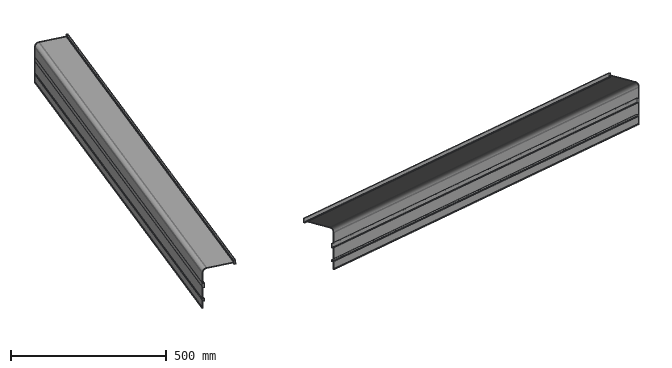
import cadquery as cq
import math

length = 2000.0
depth = 112.0
height = 155.0

wall = 2.0
corner_radius = 15.0
flange_slope = math.radians(6)
corner_height = 138.0

bead_width = 5.0
bead_height = 15.0

rib_projection = 5.0
ribs = [(72.0, 15.0), (25.0, 5.0)]

bottom_bevel = 2.0

front_y = -depth / 2
back_y = depth / 2
bottom_z = -height / 2
top_z = height / 2

bead_y = back_y - (bead_width * math.cos(flange_slope) + bead_height * math.sin(flange_slope)) / 2
bead_z = top_z - (bead_height * math.cos(flange_slope) + bead_width * math.sin(flange_slope)) / 2


def bar(y, z, width, tall):
    """Full-length rectangular bar whose lower front edge is at (y, z)."""
    return cq.Workplane("XY").box(length, width, tall, centered=(True, False, False)).translate((0, y, z))


def angle_body():
    """Upright leg and sloping flange joined by a rounded corner."""
    rise = math.tan(flange_slope)
    corner_z = bottom_z + corner_height
    flange_drop = wall / math.cos(flange_slope)
    inner_y = front_y + wall
    flange_end = bead_y
    end_z = corner_z + (flange_end - front_y) * rise
    outline = [
        (front_y, bottom_z),
        (front_y, corner_z),
        (flange_end, end_z),
        (flange_end, end_z - flange_drop),
        (inner_y, corner_z + wall * rise - flange_drop),
        (inner_y, bottom_z + bottom_bevel),
    ]
    body = cq.Workplane("YZ").polyline(outline).close().extrude(length / 2, both=True)
    outer_edge = cq.selectors.NearestToPointSelector((0, front_y, corner_z))
    inner_edge = cq.selectors.NearestToPointSelector((0, inner_y, outline[4][1]))
    body = body.edges("|X").edges(outer_edge).fillet(corner_radius)
    return body.edges("|X").edges(inner_edge).fillet(corner_radius - wall)


def flange_bead():
    """Tilted bead that sets the back and top limits of the part."""
    bead = cq.Workplane("YZ").center(bead_y, bead_z).transformed(rotate=(0, 0, math.degrees(flange_slope)))
    return bead.rect(bead_width, bead_height).extrude(length / 2, both=True)


result = angle_body().union(flange_bead())

for rib_bottom, rib_height in ribs:
    result = result.union(bar(front_y + wall, bottom_z + rib_bottom, rib_projection, rib_height))